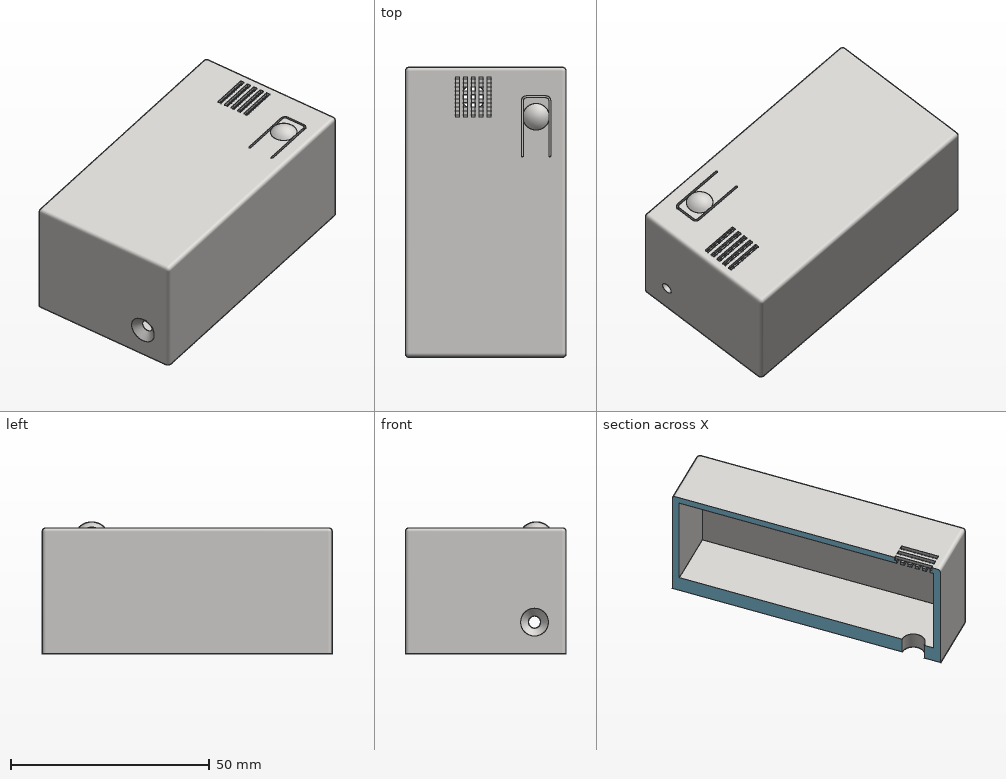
import cadquery as cq
import math

LENGTH_X = 40.6
LENGTH_Y = 73.2
BODY_HEIGHT = 31.8
TOTAL_HEIGHT = 33.3
EDGE_RADIUS = 1.0
WALL = 2.0
FLOOR = 4.5

SCREW_X = 12.3
SCREW_Z = 8.0
SCREW_DIAMETER = 3.0
COUNTERSINK_DIAMETER = 7.0
COUNTERSINK_DEPTH = (COUNTERSINK_DIAMETER - SCREW_DIAMETER) / 2

GRILLE_X = -3.15
GRILLE_Y = 29.1
GRILLE_SLOTS = 5
SLOT_WIDTH = 1.0
SLOT_PITCH = 2.0
SLOT_LENGTH = GRILLE_SLOTS * SLOT_PITCH
SOUND_HOLE_DIAMETER = 6.0

BUTTON_X = 12.7
BUTTON_Y = 24.1
DOME_BASE_DIAMETER = 6.7
DOME_HEIGHT = TOTAL_HEIGHT - BODY_HEIGHT
DOME_RADIUS = (DOME_BASE_DIAMETER ** 2 / 4 + DOME_HEIGHT ** 2) / (2 * DOME_HEIGHT)
TONGUE_WIDTH = 6.4
SLIT_WIDTH = 0.5
SLIT_INNER_RADIUS = 0.75
SLIT_TOP_Y = 29.4
SLIT_BOTTOM_Y = 14.0


def make_shell():
    body = (
        cq.Workplane("XY")
        .box(LENGTH_X, LENGTH_Y, BODY_HEIGHT, centered=(True, True, False))
        .edges("|Z or >Z")
        .fillet(EDGE_RADIUS)
    )
    cavity = (
        cq.Workplane("XY", origin=(0, 0, FLOOR))
        .box(
            LENGTH_X - 2 * WALL,
            LENGTH_Y - 2 * WALL,
            BODY_HEIGHT - FLOOR - WALL,
            centered=(True, True, False),
        )
    )
    return body.cut(cavity)


def make_screw_cutter():
    front = cq.Vector(SCREW_X, -LENGTH_Y / 2, SCREW_Z)
    inward = cq.Vector(0, 1, 0)
    hole = cq.Solid.makeCylinder(SCREW_DIAMETER / 2, LENGTH_Y, front, inward)
    countersink = cq.Solid.makeCone(
        COUNTERSINK_DIAMETER / 2, SCREW_DIAMETER / 2, COUNTERSINK_DEPTH, front, inward
    )
    return cq.Workplane(obj=hole).union(cq.Workplane(obj=countersink))


def make_grille_cutter():
    layer = WALL / 2
    inner_face = cq.Workplane("XY", origin=(GRILLE_X, GRILLE_Y, BODY_HEIGHT - WALL))
    mid_roof = inner_face.workplane(offset=layer)
    along_y = (
        mid_roof.rarray(SLOT_PITCH, SLOT_PITCH, GRILLE_SLOTS, 1)
        .rect(SLOT_WIDTH, SLOT_LENGTH)
        .extrude(layer)
    )
    along_x = (
        inner_face.rarray(SLOT_PITCH, SLOT_PITCH, 1, GRILLE_SLOTS)
        .rect(SLOT_LENGTH, SLOT_WIDTH)
        .extrude(layer)
    )
    sound_hole = (
        cq.Workplane("XY", origin=(GRILLE_X, GRILLE_Y, 0))
        .circle(SOUND_HOLE_DIAMETER / 2)
        .extrude(FLOOR)
    )
    return along_y.union(along_x).union(sound_hole)


def make_slit_cutter():
    """U-shaped slit, open toward -Y, through the full roof thickness."""
    centre_half_width = (TONGUE_WIDTH + SLIT_WIDTH) / 2
    bend = SLIT_INNER_RADIUS + SLIT_WIDTH / 2
    bend_mid = bend * (1 - math.cos(math.pi / 4))
    left = BUTTON_X - centre_half_width
    right = BUTTON_X + centre_half_width
    top = SLIT_TOP_Y - SLIT_WIDTH / 2
    bottom = SLIT_BOTTOM_Y + SLIT_WIDTH / 2
    centre_line = (
        cq.Workplane("XY")
        .moveTo(left, bottom)
        .lineTo(left, top - bend)
        .threePointArc((left + bend_mid, top - bend_mid), (left + bend, top))
        .lineTo(right - bend, top)
        .threePointArc((right - bend_mid, top - bend_mid), (right, top - bend))
        .lineTo(right, bottom)
    )
    slit = centre_line.offset2D(SLIT_WIDTH / 2, "arc")
    return slit.extrude(WALL).translate((0, 0, BODY_HEIGHT - WALL))


def make_dome():
    """Spherical cap rising from the roof, trimmed to the width of the tongue."""
    ball = cq.Workplane("XY", origin=(BUTTON_X, BUTTON_Y, TOTAL_HEIGHT - DOME_RADIUS)).sphere(DOME_RADIUS)
    keep_bottom = BODY_HEIGHT - WALL / 2
    keep = (
        cq.Workplane("XY", origin=(BUTTON_X, BUTTON_Y, keep_bottom))
        .box(TONGUE_WIDTH, 2 * DOME_RADIUS, TOTAL_HEIGHT - keep_bottom, centered=(True, True, False))
    )
    return ball.intersect(keep)


result = (
    make_shell()
    .cut(make_screw_cutter())
    .cut(make_grille_cutter())
    .cut(make_slit_cutter())
    .union(make_dome())
)